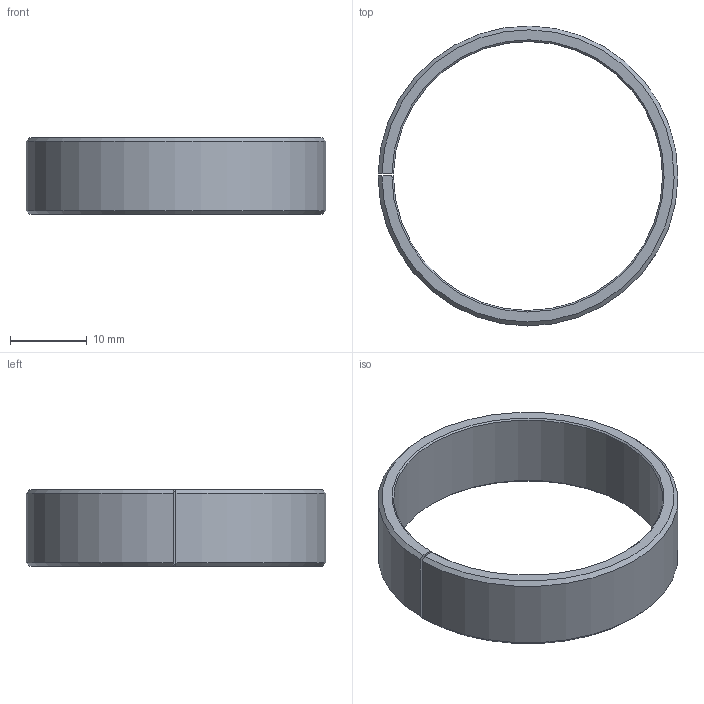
import cadquery as cq

outer_diameter = 39.0
inner_diameter = 35.0
height = 10.0
outer_chamfer = 0.5
inner_chamfer = 0.2
split_angle = 1.0

outer_radius = outer_diameter / 2
inner_radius = inner_diameter / 2


def make_wall_section():
    """Chamfered wall section on the -X side of the axis, with the bottom at Z = 0."""
    return (
        cq.Workplane("XZ")
        .moveTo(-inner_radius - inner_chamfer, 0)
        .lineTo(-outer_radius + outer_chamfer, 0)
        .lineTo(-outer_radius, outer_chamfer)
        .lineTo(-outer_radius, height - outer_chamfer)
        .lineTo(-outer_radius + outer_chamfer, height)
        .lineTo(-inner_radius - inner_chamfer, height)
        .lineTo(-inner_radius, height - inner_chamfer)
        .lineTo(-inner_radius, inner_chamfer)
        .close()
    )


result = make_wall_section().revolve(360 - split_angle, (0, 0, 0), (0, 1, 0))